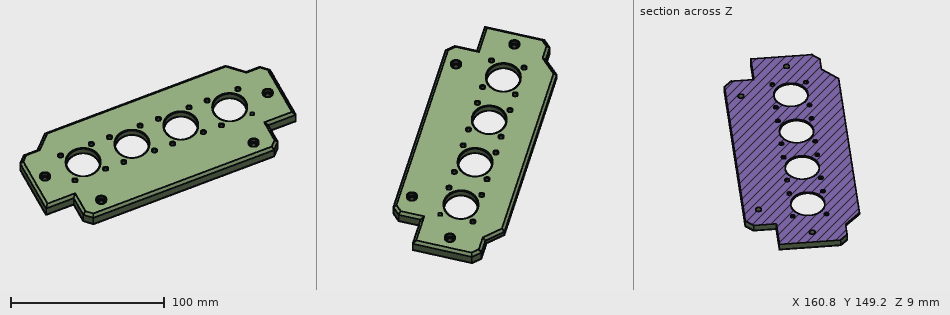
import cadquery as cq

THICKNESS = 9.0
TILT_DEG = 41.5
LENGTH = 179.3
HALF_LENGTH = LENGTH / 2
TAB_HALF_WIDTH = 22.5
TAB_CHAMFER = 5.0
EDGE_BEVEL = 2.0

REAR_EDGE = 32.6
REAR_HALF_LENGTH = 64.8
FRONT_EDGE = -42.3
FRONT_HALF_LENGTH = 69.8
FRONT_CHAMFER = 5.0

UNDERCUT_HEIGHT = 3.5

RECESS_LENGTH = 146.3
RECESS_WALL = 2.0
RECESS_DEPTH = UNDERCUT_HEIGHT

OPENING_DIAMETER = 22.0
OPENING_PITCH = 35.0
OPENING_COUNT = 4
SMALL_HOLE_DIAMETER = 2.5
SMALL_HOLE_SPACING = 22.0
HOLE_CHAMFER = 0.5

MOUNT_DIAMETER = 3.5
COUNTERBORE_DIAMETER = 6.0
COUNTERBORE_DEPTH = 3.0
TAB_MOUNT_X = 79.9
FRONT_MOUNT_X = 54.7
FRONT_MOUNT_Y = -32.5


def plate():
    """Bevelled plate with its length along X; the outline mirrors about Y."""
    rear_slope = REAR_EDGE - TAB_HALF_WIDTH
    right_side = [
        (FRONT_HALF_LENGTH - FRONT_CHAMFER, FRONT_EDGE),
        (FRONT_HALF_LENGTH, FRONT_EDGE + FRONT_CHAMFER),
        (FRONT_HALF_LENGTH, -TAB_HALF_WIDTH),
        (HALF_LENGTH, -TAB_HALF_WIDTH),
        (HALF_LENGTH, TAB_HALF_WIDTH - TAB_CHAMFER),
        (HALF_LENGTH - TAB_CHAMFER, TAB_HALF_WIDTH),
        (REAR_HALF_LENGTH + rear_slope, TAB_HALF_WIDTH),
        (REAR_HALF_LENGTH, REAR_EDGE),
    ]
    left_side = [(-x, y) for x, y in reversed(right_side)]
    body = cq.Workplane("XY").polyline(right_side + left_side).close().extrude(THICKNESS)
    return body.faces(">Z").edges().chamfer(EDGE_BEVEL)


def rear_undercut():
    """Cutter that leaves the rear edge overhanging, flush below with the tab sides."""
    depth = REAR_EDGE - TAB_HALF_WIDTH
    return (
        cq.Workplane("XY")
        .box(LENGTH, depth, UNDERCUT_HEIGHT, centered=(True, False, False))
        .translate((0, TAB_HALF_WIDTH, 0))
    )


def bottom_recess():
    width = 2 * (TAB_HALF_WIDTH - RECESS_WALL)
    return cq.Workplane("XY").rect(RECESS_LENGTH, width).extrude(RECESS_DEPTH)


def hole_cutter(points, diameter):
    return cq.Workplane("XY").pushPoints(points).circle(diameter / 2).extrude(THICKNESS)


def rim_cutter(points, diameter):
    """Cones that break the top rim of holes of the given diameter."""
    radius = diameter / 2
    cone = cq.Solid.makeCone(
        radius, radius + HOLE_CHAMFER, HOLE_CHAMFER, pnt=cq.Vector(0, 0, THICKNESS - HOLE_CHAMFER)
    )
    return cq.Workplane("XY").pushPoints(points).eachpoint(lambda place: cone.moved(place))


row_middle = (OPENING_COUNT - 1) / 2
openings = [((i - row_middle) * OPENING_PITCH, 0) for i in range(OPENING_COUNT)]

half_spacing = SMALL_HOLE_SPACING / 2
small_holes = [
    (x + side * half_spacing, end * half_spacing)
    for x, _ in openings
    for side in (-1, 1)
    for end in (-1, 1)
]
sharp_hole = (openings[-1][0] + half_spacing, -half_spacing)
chamfered_small_holes = [point for point in small_holes if point != sharp_hole]

mounts = [
    (side * x, y)
    for side in (-1, 1)
    for x, y in ((TAB_MOUNT_X, 0), (FRONT_MOUNT_X, FRONT_MOUNT_Y))
]

counterbores = hole_cutter(mounts, COUNTERBORE_DIAMETER).translate((0, 0, THICKNESS - COUNTERBORE_DEPTH))

result = (
    plate()
    .cut(rear_undercut())
    .cut(bottom_recess())
    .cut(hole_cutter(openings, OPENING_DIAMETER))
    .cut(rim_cutter(openings, OPENING_DIAMETER))
    .cut(hole_cutter(small_holes, SMALL_HOLE_DIAMETER))
    .cut(rim_cutter(chamfered_small_holes, SMALL_HOLE_DIAMETER))
    .cut(hole_cutter(mounts, MOUNT_DIAMETER))
    .cut(counterbores)
    .cut(rim_cutter(mounts, COUNTERBORE_DIAMETER))
    .rotate((0, 0, 0), (0, 0, 1), TILT_DEG)
)